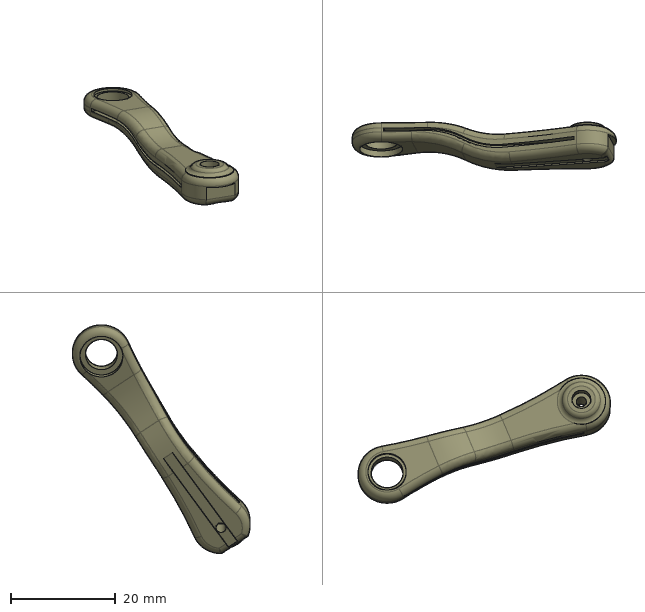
import cadquery as cq
import math

pivot_spacing = 40.11
end_radius = 5.57
waist_half_width = 3.57
half_spacing = pivot_spacing / 2

overall_height = 8.95
high_arm_bottom = 5.15
low_arm_top = 5.7
top_bend_start, top_bend_end = 9.6, 24.7
bottom_bend_start, bottom_bend_end = 6.55, 25.7
edge_radius = 1.5
skin_slope = 0.5

eye_diameter = 6.1
eye_upper_diameter = 7.3
eye_upper_depth = 0.5
eye_lower_diameter = 8.2
eye_lower_depth = 1.2

boss_top = 6.87
boss_flat_radius = 2.65
boss_foot_radius = 4.62
boss_root_depth = 0.5
pin_hole_diameter = 1.9
head_recess_diameter = 3.6
head_recess_depth = 1.6

flat_offset = 4.63
lip_bottom = 3.95

channel_width = 2.1
channel_depth = 0.3

groove_height = 0.6
groove_start, groove_end = 1.45, 38.5
groove_bend_start, groove_bend_end = 9.05, 24.2
groove_high_z = 7.12
groove_low_z = low_arm_top / 2
groove_floor = 3.0
groove_ramp_length = 1.7


def add_bend(path, start, end):
    """Continue a sketch with an S-bend of two equal tangent arcs between level runs."""
    (x0, z0), (x1, z1) = start, end
    run, rise = x1 - x0, z1 - z0
    half_angle = math.atan(abs(rise / run))
    radius = abs(run) / (2 * math.sin(2 * half_angle))
    dx = math.copysign(radius * math.sin(half_angle), run)
    dz = math.copysign(radius * (1 - math.cos(half_angle)), rise)
    inflection = (x0 + run / 2, z0 + rise / 2)
    path = path.threePointArc((x0 + dx, z0 + dz), inflection)
    return path.threePointArc((x1 - dx, z1 - dz), end)


def side_radius():
    """Radius of the waisted sides, tangent to both round ends."""
    narrowing = end_radius - waist_half_width
    return (half_spacing**2 + waist_half_width**2 - end_radius**2) / (2 * narrowing)


def plan_outline():
    centre_distance = side_radius() + end_radius
    tangent_x = end_radius * half_spacing / centre_distance
    tangent_y = end_radius * (side_radius() + waist_half_width) / centre_distance
    far_x = pivot_spacing - tangent_x
    return (
        cq.Workplane("XY")
        .moveTo(tangent_x, tangent_y)
        .threePointArc((half_spacing, waist_half_width), (far_x, tangent_y))
        .threePointArc((pivot_spacing + end_radius, 0), (far_x, -tangent_y))
        .threePointArc((half_spacing, -waist_half_width), (tangent_x, -tangent_y))
        .threePointArc((-end_radius, 0), (tangent_x, tangent_y))
        .close()
        .extrude(overall_height)
    )


def side_profile():
    left = -2 * end_radius
    right = pivot_spacing + 2 * end_radius
    path = cq.Workplane("XZ").moveTo(left, overall_height).lineTo(top_bend_start, overall_height)
    path = add_bend(path, (top_bend_start, overall_height), (top_bend_end, low_arm_top))
    path = path.lineTo(right, low_arm_top).lineTo(right, 0).lineTo(bottom_bend_end, 0)
    path = add_bend(path, (bottom_bend_end, 0), (bottom_bend_start, high_arm_bottom))
    return path.lineTo(left, high_arm_bottom).close().extrude(2 * end_radius, both=True)


def end_flat():
    return (
        cq.Workplane("XY")
        .box(end_radius, 2 * end_radius, lip_bottom, centered=(False, True, False))
        .translate((pivot_spacing + flat_offset, 0, 0))
    )


def rim_edges(faces):
    """Edges around a run of joined faces, without the seams between them."""
    edges = [edge for face in faces for edge in face.Edges()]
    return [edge for edge in edges if sum(edge.isSame(other) for other in edges) == 1]


def rounded_arm():
    arm = plan_outline().intersect(side_profile()).cut(end_flat())
    upper_skin = []
    lower_skin = []
    for face in arm.faces().vals():
        slope = face.normalAt(face.Center()).z
        is_lip = math.isclose(face.Center().z, lip_bottom)
        if slope > skin_slope:
            upper_skin.append(face)
        elif slope < -skin_slope and not is_lip:
            lower_skin.append(face)
    return arm.newObject(rim_edges(upper_skin) + rim_edges(lower_skin)).fillet(edge_radius)


def boss():
    root_z = low_arm_top - boss_root_depth
    profile = cq.Workplane("XZ").moveTo(0, boss_top).lineTo(boss_flat_radius, boss_top)
    profile = add_bend(profile, (boss_flat_radius, boss_top), (boss_foot_radius, low_arm_top))
    return (
        profile.lineTo(boss_foot_radius, root_z)
        .lineTo(0, root_z)
        .close()
        .revolve(360, (0, 0, 0), (0, 1, 0))
        .translate((pivot_spacing, 0, 0))
    )


def cylinder(x, bottom_z, diameter, height):
    return cq.Workplane("XY", origin=(x, 0, bottom_z)).circle(diameter / 2).extrude(height)


def eye():
    """Through hole with a shallow recess above and a wider, deeper one below."""
    upper_recess = cylinder(0, overall_height - eye_upper_depth, eye_upper_diameter, eye_upper_depth)
    lower_recess = cylinder(0, high_arm_bottom, eye_lower_diameter, eye_lower_depth)
    return cylinder(0, 0, eye_diameter, overall_height).union(upper_recess).union(lower_recess)


def pin_hole():
    head_recess = cylinder(pivot_spacing, boss_top - head_recess_depth, head_recess_diameter, head_recess_depth)
    return cylinder(pivot_spacing, 0, pin_hole_diameter, boss_top).union(head_recess)


def channel():
    length = pivot_spacing + 2 * end_radius
    return cq.Workplane("XY").box(length, channel_width, channel_depth, centered=(False, True, False))


def groove():
    half = groove_height / 2
    high_top, high_bottom = groove_high_z + half, groove_high_z - half
    low_top, low_bottom = groove_low_z + half, groove_low_z - half
    band = cq.Workplane("XZ").moveTo(groove_start, high_top).lineTo(groove_bend_start, high_top)
    band = add_bend(band, (groove_bend_start, high_top), (groove_bend_end, low_top))
    band = band.lineTo(groove_end, low_top).lineTo(groove_end, low_bottom).lineTo(groove_bend_end, low_bottom)
    band = add_bend(band, (groove_bend_end, low_bottom), (groove_bend_start, high_bottom))
    band = band.lineTo(groove_start, high_bottom).close().extrude(2 * end_radius)
    ramp_rise = groove_ramp_length * (groove_end - half_spacing) / side_radius()
    reach = (
        cq.Workplane("XY")
        .moveTo(groove_start, -groove_floor)
        .lineTo(groove_end - groove_ramp_length, -groove_floor)
        .lineTo(groove_end, -groove_floor - ramp_rise)
        .lineTo(groove_end, -2 * end_radius)
        .lineTo(groove_start, -2 * end_radius)
        .close()
        .extrude(overall_height)
    )
    return band.intersect(reach)


result = rounded_arm().union(boss())
for cutter in (eye(), pin_hole(), channel(), groove()):
    result = result.cut(cutter)